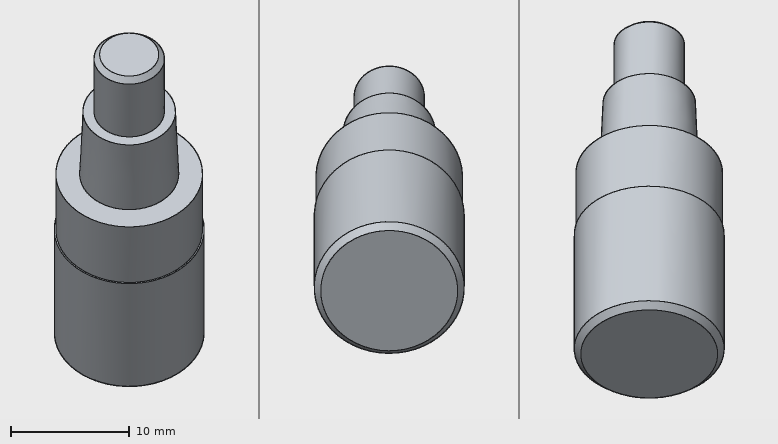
import cadquery as cq

total_height = 34.75
shoulder_height = 13.25
housing_height = 20.08
sleeve_top = 27.75

body_radius = 6.35
collar_radius = 6.22
sleeve_base_radius = 4.2
sleeve_top_radius = 3.93
tip_radius = 3.0

body_chamfer = 0.55
tip_chamfer = 0.5


def make_housing():
    """Chamfered cylindrical body carrying a slightly narrower collar."""
    body = cq.Workplane("XY").circle(body_radius).extrude(shoulder_height)
    body = body.faces("<Z").chamfer(body_chamfer)
    collar = (
        cq.Workplane("XY", origin=(0, 0, shoulder_height))
        .circle(collar_radius)
        .extrude(housing_height - shoulder_height)
    )
    return body.union(collar)


def make_plunger():
    """Tapered sleeve standing on the housing, with a chamfered cylindrical tip."""
    sleeve = cq.Workplane(
        cq.Solid.makeCone(
            sleeve_base_radius,
            sleeve_top_radius,
            sleeve_top - housing_height,
            pnt=cq.Vector(0, 0, housing_height),
        )
    )
    tip = (
        cq.Workplane("XY", origin=(0, 0, sleeve_top))
        .circle(tip_radius)
        .extrude(total_height - sleeve_top)
        .faces(">Z")
        .chamfer(tip_chamfer)
    )
    return sleeve.union(tip)


housing = make_housing()
plunger = make_plunger()

result = cq.Compound.makeCompound([housing.val(), plunger.val()])